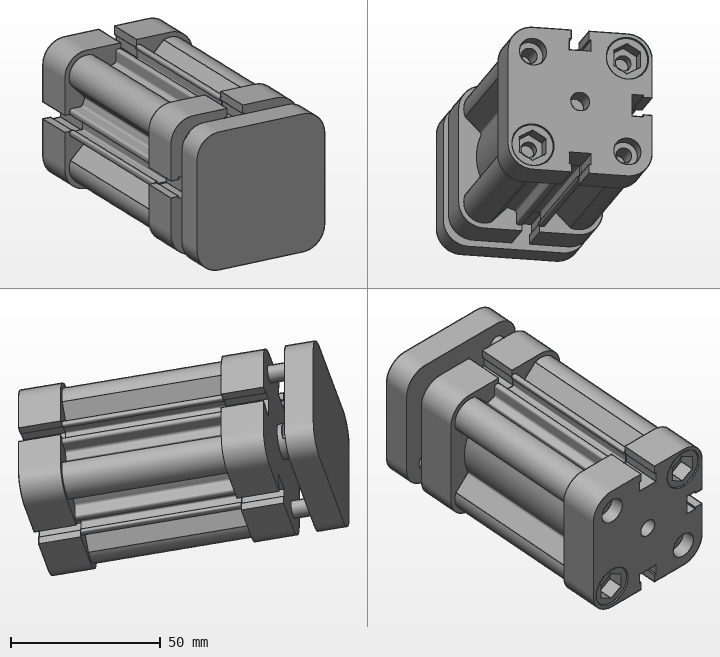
import cadquery as cq
import math


total_length = 101.5
cap_length = 14.5
barrel_length = 55.3
plate_thickness = 9.9

side = 49.5
corner_radius = 8.5
axis_offset = side / 2 - corner_radius

wall_radius = 18.7
post_radius = 6.8
post_half_width = 6.3
lip_half_width = 5.0
lip_height = 22.8
concave_radius = 1.0
lip_edge_radius = 0.9

cap_slot_floor = 17.9
barrel_slot_floor = 18.0
cap_undercut_height = 21.7
barrel_undercut_height = 21.5
cap_neck_half = 3.0
cap_undercut_half = 3.8
barrel_neck_half = 2.7
barrel_undercut_half = 3.3
neck_edge_radius = 0.6
barrel_floor_radius = 0.5
slot_angles = (0, 90, 180)

port_diameter = 6.4
port_depth = 8.1
screw_hole_diameter = 5.3
counterbore_diameter = 9.2
counterbore_depth = 5.0

plug_recess_diameter = 14.5
plug_gap = 0.2
plug_inset = 0.5
plug_length = 9.6
hex_across_flats = 9.1
hex_depth = 5.5

rod_diameter = 12.1
rod_end_chamfer = 0.3
flat_half_width = 5.1
flat_start = 1.8
flat_runout = 0.3
guide_diameter = 6.0

front_cap_start = cap_length + barrel_length
housing_length = front_cap_start + cap_length
plate_start = total_length - plate_thickness
plug_recess_depth = plug_inset + plug_length
plug_diameter = plug_recess_diameter - 2 * plug_gap
guide_axes = [(-axis_offset, axis_offset), (axis_offset, -axis_offset)]
screw_axes = [(axis_offset, axis_offset), (-axis_offset, -axis_offset)]


def section(x):
    """Workplane across the stroke axis, with local axes along Y and Z."""
    return cq.Workplane("YZ", origin=(x, 0, 0))


def turned(body, angle):
    """Body turned about the X axis."""
    return body.rotate((0, 0, 0), (1, 0, 0), angle)


def cylinders(axes, diameter, x_start, x_end):
    """Cylinders along X on the given Y, Z axes."""
    return section(x_start).pushPoints(axes).circle(diameter / 2).extrude(x_end - x_start)


def rounded_block(x_start, length):
    """Square block with rounded corners, the shape of the caps and the plate."""
    return section(x_start).rect(side, side).extrude(length).edges("|X").fillet(corner_radius)


def upright_box(half_width, z_bottom, z_top, x_start, length):
    """Box centred on the Z axis of the cross-section."""
    height = z_top - z_bottom
    return section(x_start).center(0, z_bottom + height / 2).rect(2 * half_width, height).extrude(length)


def slot_neck(half_width, floor, x_start, length):
    """Neck of a sensor slot, open at the top side."""
    return upright_box(half_width, floor, side / 2, x_start, length)


def make_cap(x_start):
    cap = rounded_block(x_start, cap_length)
    neck = slot_neck(cap_neck_half, cap_slot_floor, x_start, cap_length)
    undercut = upright_box(cap_undercut_half, cap_slot_floor, cap_undercut_height, x_start, cap_length)
    slot = neck.union(undercut)
    for angle in slot_angles:
        cap = cap.cut(turned(slot, angle))
    return cap


def make_post():
    """Corner post, laid out on the Z axis: a round bar trimmed to a web with parallel sides."""
    axis_distance = axis_offset * math.sqrt(2)
    bar = cylinders([(0, axis_distance)], 2 * post_radius, cap_length, front_cap_start)
    web = upright_box(post_half_width, 0, axis_distance + post_radius, cap_length, barrel_length)
    filler = upright_box(post_half_width, 0, axis_distance, cap_length, barrel_length)
    return bar.intersect(web).union(filler)


def is_on_wall(edge):
    center = edge.Center()
    return abs(math.hypot(center.y, center.z) - wall_radius) < 0.01


def make_barrel_slot():
    """Cutter for a T-shaped slot with rounded floor corners and rounded mouth edges."""
    neck = slot_neck(barrel_neck_half, barrel_slot_floor, cap_length, barrel_length)
    undercut = upright_box(
        barrel_undercut_half, barrel_slot_floor, barrel_undercut_height, cap_length, barrel_length
    )
    undercut = undercut.edges("|X and <Z").fillet(barrel_floor_radius)

    mouth_half = barrel_neck_half + neck_edge_radius
    mouth_bottom = lip_height - neck_edge_radius
    mouth = upright_box(mouth_half, mouth_bottom, lip_height, cap_length, barrel_length)
    mouth_edges = [(-mouth_half, mouth_bottom), (mouth_half, mouth_bottom)]
    mouth = mouth.cut(cylinders(mouth_edges, 2 * neck_edge_radius, cap_length, front_cap_start))
    return neck.union(undercut).union(mouth)


def make_barrel():
    barrel = section(cap_length).circle(wall_radius).extrude(barrel_length)
    barrel = turned(barrel, 45)
    post = make_post()
    for angle in (45, 135, 225, 315):
        barrel = barrel.union(turned(post, angle))

    lip = upright_box(lip_half_width, 0, lip_height, cap_length, barrel_length)
    lip = lip.edges("|X and >Z").fillet(lip_edge_radius)
    for angle in slot_angles:
        barrel = barrel.union(turned(lip, angle))
    barrel = barrel.edges("|X").filter(is_on_wall).fillet(concave_radius)

    slot = make_barrel_slot()
    for angle in slot_angles:
        barrel = barrel.cut(turned(slot, angle))
    return barrel


def make_housing():
    housing = make_cap(0).union(make_barrel()).union(make_cap(front_cap_start))
    housing = housing.cut(cylinders([(0, 0)], port_diameter, 0, port_depth))
    housing = housing.cut(cylinders(screw_axes, counterbore_diameter, 0, counterbore_depth))
    housing = housing.cut(cylinders(screw_axes, screw_hole_diameter, 0, cap_length))
    housing = housing.cut(cylinders(guide_axes, plug_recess_diameter, 0, plug_recess_depth))
    housing = housing.cut(cylinders(guide_axes, guide_diameter, front_cap_start, housing_length))
    return housing.cut(cylinders([(0, 0)], rod_diameter, front_cap_start, housing_length))


def make_plug(axis):
    plug = cylinders([axis], plug_diameter, plug_inset, plug_recess_depth)
    across_corners = hex_across_flats / math.cos(math.pi / 6)
    socket = section(plug_inset).polygon(6, across_corners).extrude(hex_depth)
    socket = turned(socket, 90).translate((0, *axis))
    return plug.cut(socket).cut(cylinders([axis], screw_hole_diameter, plug_inset, plug_recess_depth))


def make_rod():
    rod = cylinders([(0, 0)], rod_diameter, front_cap_start, plate_start)
    rod = rod.faces(">X").chamfer(rod_end_chamfer)
    rod_radius = rod_diameter / 2
    flat_x = housing_length + flat_start
    flat_cutter = (
        cq.Workplane("XY", origin=(0, 0, -rod_radius))
        .moveTo(flat_x, flat_half_width)
        .lineTo(plate_start, flat_half_width)
        .lineTo(plate_start, rod_radius)
        .lineTo(flat_x - flat_runout, rod_radius)
        .close()
        .extrude(rod_diameter)
    )
    return rod.cut(flat_cutter).cut(flat_cutter.mirror("XZ"))


def make_guided_plate():
    plate = rounded_block(plate_start, plate_thickness)
    return plate.union(cylinders(guide_axes, guide_diameter, front_cap_start, plate_start))


housing = make_housing()
plugs = [make_plug(axis) for axis in guide_axes]
rod = make_rod()
guided_plate = make_guided_plate()

result = cq.Compound.makeCompound(
    [housing.val(), *[plug.val() for plug in plugs], rod.val(), guided_plate.val()]
)